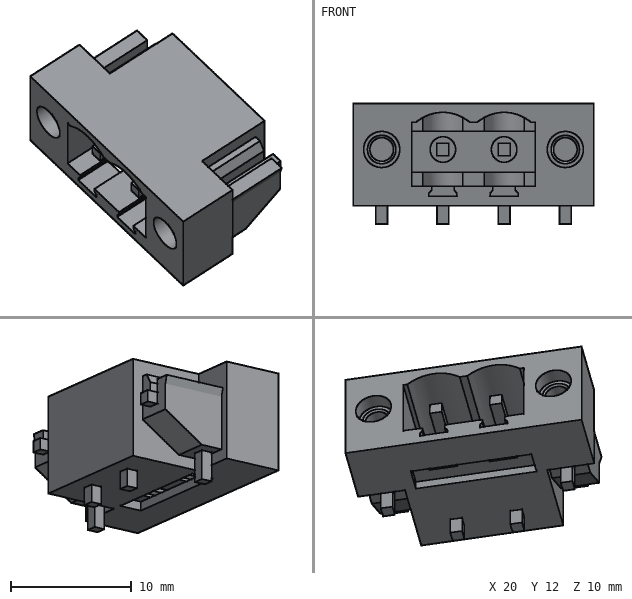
import cadquery as cq

WIDTH = 19.96
DEPTH = 12.0
HEIGHT = 8.48
PITCH = 5.07
POLE_X = [-PITCH / 2, PITCH / 2]
FLANGE_X = [-1.5 * PITCH, 1.5 * PITCH]
AXIS_Z = 4.67
BLOCK_DEPTH = 5.29
CORE_WIDTH = 12.02

CAVITY_WIDTH = 10.2
CAVITY_FLOOR = 1.64
CAVITY_ROOF = 6.95
CAVITY_BACK = 8.78
ARCH_TOP = 7.75
ARCH_SPRING = 7.23
ARCH_HALF_WIDTH = 1.8
ARCH_FOOT_HALF_WIDTH = 2.22

SHELF_FRONT = 6.99
SHELF_BOTTOM = 2.8
SHELF_TOP = 6.17
RECESS_RADIUS = 1.05
RECESS_DEPTH = 0.2

NOSE_FRONT = 7.5
NOSE_SHOULDER = 8.18
NOSE_HALF_WIDTH = 1.25
NOSE_BASE_HALF_WIDTH = 1.65

SLOT_LENGTH = 4.13
SLOT_BOTTOM = 0.78
SLOT_NECK_WIDTH = 1.88
SLOT_FOOT_WIDTH = 2.34
SLOT_NECK_Z = 1.3
SLOT_FOOT_Z = 1.04
POCKET_FRONT = 3.2

SUPPORT_BACK = 11.02
SUPPORT_BOTTOM = 1.0
SUPPORT_SLANT_TOP = 3.37
SUPPORT_SLANT_FRONT = 7.3
SUPPORT_LIP_X = 9.45
SUPPORT_SIDE_X = 9.25
SUPPORT_LIP_BOTTOM = 5.6
SUPPORT_TOP = 6.33
RIB_X = 6.59
RIB_TOP = 7.15

PIN = 1.0
PIN_DROP = 1.52
CONTACT_FRONT = 0.95
CONTACT_BACK = 10.44
ANCHOR_FRONT = 5.47

INSERT_RADIUS = 1.5
INSERT_FRONT = 1.3
INSERT_BACK = 4.0
BORE_RADIUS = 0.98
MOUTH_RADIUS = 1.18
MOUTH_DEPTH = 0.12


def box(x_min, x_max, y_min, y_max, z_min, z_max):
    """Axis-aligned box between the given limits."""
    size = (x_max - x_min, y_max - y_min, z_max - z_min)
    return cq.Workplane("XY").box(*size, centered=False).translate((x_min, y_min, z_min))


def centred_box(x, width, y_min, y_max, z_min, z_max):
    """Box of the given width centred on x."""
    return box(x - width / 2, x + width / 2, y_min, y_max, z_min, z_max)


def front_plane(y):
    """Sketch plane at depth y, with local x, y along X, Z; extrude(-d) goes back by d."""
    return cq.Workplane("XZ", origin=(0, y, 0))


def cylinder(x, radius, y_min, y_max):
    """Cylinder along Y on the contact axis height."""
    return front_plane(y_min).center(x, AXIS_Z).circle(radius).extrude(y_min - y_max)


def contact(x):
    """L-shaped contact: blade towards the front, solder leg down at the back."""
    blade = centred_box(x, PIN, CONTACT_FRONT, CONTACT_BACK, AXIS_Z - PIN / 2, AXIS_Z + PIN / 2)
    leg = centred_box(x, PIN, CONTACT_BACK - PIN, CONTACT_BACK, -PIN_DROP, AXIS_Z)
    return blade.union(leg)


def anchor(x):
    """L-shaped flange anchor: bar towards the back, solder leg down at the front."""
    bar = centred_box(x, PIN, ANCHOR_FRONT, DEPTH, AXIS_Z - PIN / 2, AXIS_Z + PIN / 2)
    leg = centred_box(x, PIN, ANCHOR_FRONT, ANCHOR_FRONT + PIN, -PIN_DROP, AXIS_Z)
    return bar.union(leg)


def insert(x):
    """Threaded sleeve with a countersunk mouth."""
    sleeve = cylinder(x, INSERT_RADIUS, INSERT_FRONT, INSERT_BACK)
    bore = cylinder(x, BORE_RADIUS, INSERT_FRONT, INSERT_BACK)
    mouth = (
        front_plane(INSERT_FRONT)
        .center(x, AXIS_Z)
        .circle(MOUTH_RADIUS)
        .workplane(offset=-MOUTH_DEPTH)
        .circle(BORE_RADIUS)
        .loft(ruled=True)
    )
    return sleeve.cut(bore).cut(mouth)


def support():
    """Flange support on the -X side: lipped outer wall, rib and slanted underside."""
    section = (
        front_plane(BLOCK_DEPTH)
        .moveTo(-CORE_WIDTH / 2, SUPPORT_BOTTOM)
        .lineTo(-SUPPORT_SIDE_X, SUPPORT_BOTTOM)
        .lineTo(-SUPPORT_SIDE_X, SUPPORT_LIP_BOTTOM)
        .lineTo(-SUPPORT_LIP_X, SUPPORT_TOP)
        .lineTo(FLANGE_X[0] + PIN / 2, SUPPORT_TOP)
        .lineTo(-RIB_X, RIB_TOP)
        .lineTo(-CORE_WIDTH / 2, RIB_TOP)
        .close()
        .extrude(BLOCK_DEPTH - SUPPORT_BACK)
    )
    slant = (
        cq.Workplane("YZ", origin=(-SUPPORT_LIP_X, 0, 0))
        .moveTo(SUPPORT_SLANT_FRONT, SUPPORT_BOTTOM)
        .lineTo(SUPPORT_BACK, SUPPORT_SLANT_TOP)
        .lineTo(SUPPORT_BACK, SUPPORT_BOTTOM)
        .close()
        .extrude(SUPPORT_LIP_X - CORE_WIDTH / 2)
    )
    channel = centred_box(FLANGE_X[0], PIN, ANCHOR_FRONT, SUPPORT_BACK, AXIS_Z - PIN / 2, RIB_TOP)
    return section.cut(slant).cut(channel)


def arch(x):
    """Arched roof over one pole, running the full cavity depth."""
    return (
        front_plane(0)
        .moveTo(x - ARCH_FOOT_HALF_WIDTH, CAVITY_ROOF)
        .lineTo(x - ARCH_HALF_WIDTH, ARCH_SPRING)
        .threePointArc((x, ARCH_TOP), (x + ARCH_HALF_WIDTH, ARCH_SPRING))
        .lineTo(x + ARCH_FOOT_HALF_WIDTH, CAVITY_ROOF)
        .close()
        .extrude(-CAVITY_BACK)
    )


def post(x):
    """Upright post with flared flanks and a round nose."""
    return (
        cq.Workplane("XY", origin=(x, 0, CAVITY_FLOOR))
        .moveTo(-NOSE_BASE_HALF_WIDTH, CAVITY_BACK)
        .lineTo(-NOSE_HALF_WIDTH, NOSE_SHOULDER)
        .threePointArc((0, NOSE_FRONT), (NOSE_HALF_WIDTH, NOSE_SHOULDER))
        .lineTo(NOSE_BASE_HALF_WIDTH, CAVITY_BACK)
        .close()
        .extrude(ARCH_TOP - CAVITY_FLOOR)
    )


def cavity():
    """Empty space of the mating cavity."""
    space = centred_box(0, CAVITY_WIDTH, 0, CAVITY_BACK, CAVITY_FLOOR, CAVITY_ROOF)
    for x in POLE_X:
        space = space.union(arch(x))
    for x in POLE_X:
        space = space.cut(post(x))
    space = space.cut(centred_box(0, CAVITY_WIDTH, SHELF_FRONT, CAVITY_BACK, SHELF_BOTTOM, SHELF_TOP))
    for x in POLE_X:
        space = space.union(cylinder(x, RECESS_RADIUS, SHELF_FRONT, SHELF_FRONT + RECESS_DEPTH))
    return space


def coding_slot(x):
    """Undercut slot in the cavity floor, running in from the front."""
    neck = SLOT_NECK_WIDTH / 2
    foot = SLOT_FOOT_WIDTH / 2
    return (
        front_plane(0)
        .moveTo(x - neck, CAVITY_FLOOR)
        .lineTo(x - neck, SLOT_NECK_Z)
        .lineTo(x - foot, SLOT_FOOT_Z)
        .lineTo(x - foot, SLOT_BOTTOM)
        .lineTo(x + foot, SLOT_BOTTOM)
        .lineTo(x + foot, SLOT_FOOT_Z)
        .lineTo(x + neck, SLOT_NECK_Z)
        .lineTo(x + neck, CAVITY_FLOOR)
        .close()
        .extrude(-SLOT_LENGTH)
    )


def build_housing():
    """Housing with the cavity, and openings that fit the metal parts."""
    body = centred_box(0, WIDTH, 0, BLOCK_DEPTH, 0, HEIGHT)
    body = body.union(centred_box(0, CORE_WIDTH, 0, DEPTH, 0, HEIGHT))
    left_support = support()
    body = body.union(left_support).union(left_support.mirror("YZ"))
    body = body.cut(cavity())
    body = body.cut(centred_box(0, CAVITY_WIDTH, POCKET_FRONT, BLOCK_DEPTH, 0, SLOT_BOTTOM))
    for x in POLE_X:
        body = body.cut(coding_slot(x)).cut(contact(x))
    for x in FLANGE_X:
        body = body.cut(cylinder(x, INSERT_RADIUS, 0, INSERT_BACK)).cut(anchor(x))
    return body


housing = build_housing()
contacts = [contact(x) for x in POLE_X]
anchors = [anchor(x) for x in FLANGE_X]
inserts = [insert(x) for x in FLANGE_X]

metal_parts = contacts + anchors + inserts
result = cq.Compound.makeCompound([housing.val(), *[part.val() for part in metal_parts]])